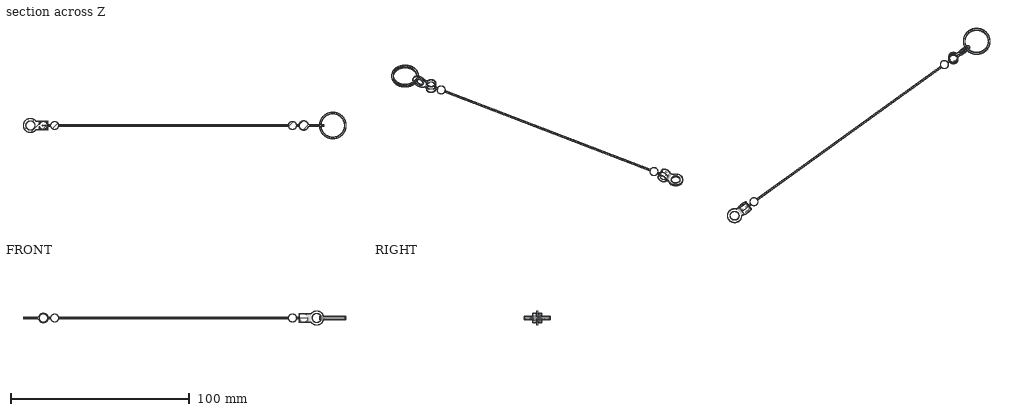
import cadquery as cq
import math

overall_length = 180.49
cord_diameter = 0.91
bead_diameter = 4.6

eye_diameter = 8.0
eye_hole_diameter = 5.0
strip_thickness = 1.0
strip_width = 5.0
barrel_diameter = 5.4
barrel_wall = 0.4
end_ball_diameter = barrel_diameter - 2 * barrel_wall
barrel_offset = 7.25
fillet_radius = 1.0
bead_offset = 13.55

key_ring_diameter = 15.0
key_ring_wire = 1.0
coil_gap = 0.01
coil_spacing = key_ring_wire + coil_gap

half_length = overall_length / 2
key_ring_x = half_length - key_ring_diameter / 2
left_eye_x = -half_length + eye_diameter / 2
eye_to_key_ring = 9.0
right_eye_x = key_ring_x - eye_to_key_ring


def make_clasp():
    """Clasp with its eye centred on the origin, eye axis along Z, barrel towards +X."""
    barrel_radius = barrel_diameter / 2
    half_strip = strip_thickness / 2
    fillet_z = half_strip + fillet_radius
    centre_distance = barrel_radius + fillet_radius
    blend_angle = math.asin(fillet_z / centre_distance)
    fillet_x = barrel_offset - centre_distance * math.cos(blend_angle)
    tangent_x = barrel_offset - barrel_radius * math.cos(blend_angle)
    tangent_z = barrel_radius * math.sin(blend_angle)
    middle_angle = (math.pi / 2 + blend_angle) / 2
    middle_x = fillet_x + fillet_radius * math.cos(middle_angle)
    middle_z = fillet_z - fillet_radius * math.sin(middle_angle)

    profile = (
        cq.Workplane("XZ")
        .moveTo(0, -half_strip)
        .lineTo(fillet_x, -half_strip)
        .threePointArc((middle_x, -middle_z), (tangent_x, -tangent_z))
        .threePointArc((barrel_offset + barrel_radius, 0), (tangent_x, tangent_z))
        .threePointArc((middle_x, middle_z), (fillet_x, half_strip))
        .lineTo(0, half_strip)
        .close()
        .extrude(strip_width / 2, both=True)
    )
    eye = cq.Workplane("XY").circle(eye_diameter / 2).extrude(half_strip, both=True)
    eye_hole = cq.Workplane("XY").circle(eye_hole_diameter / 2).extrude(half_strip, both=True)
    bore = (
        cq.Workplane("XZ")
        .center(barrel_offset, 0)
        .circle(barrel_radius - barrel_wall)
        .extrude(strip_width / 2, both=True)
    )
    return profile.union(eye).cut(eye_hole).cut(bore)


def make_ball(diameter, x):
    return cq.Workplane("XY").sphere(diameter / 2).translate((x, 0, 0))


def make_cord(start_x, end_x):
    return (
        cq.Workplane("YZ")
        .workplane(offset=start_x)
        .circle(cord_diameter / 2)
        .extrude(end_x - start_x)
    )


def make_coil(z):
    mean_radius = (key_ring_diameter - key_ring_wire) / 2
    coil = cq.Solid.makeTorus(mean_radius, key_ring_wire / 2)
    return cq.Workplane(coil).translate((key_ring_x, 0, z))


left_clasp = make_clasp().translate((left_eye_x, 0, 0))
right_clasp = (
    make_clasp()
    .rotate((0, 0, 0), (0, 0, 1), 180)
    .rotate((0, 0, 0), (1, 0, 0), 90)
    .translate((right_eye_x, 0, 0))
)
left_barrel_x = left_eye_x + barrel_offset
right_barrel_x = right_eye_x - barrel_offset

result = make_cord(left_barrel_x, right_barrel_x).union(left_clasp).union(right_clasp)
for barrel_x in (left_barrel_x, right_barrel_x):
    result = result.union(make_ball(end_ball_diameter, barrel_x))
for bead_x in (left_eye_x + bead_offset, right_eye_x - bead_offset):
    result = result.union(make_ball(bead_diameter, bead_x))
for coil_z in (-coil_spacing / 2, coil_spacing / 2):
    result = result.union(make_coil(coil_z))